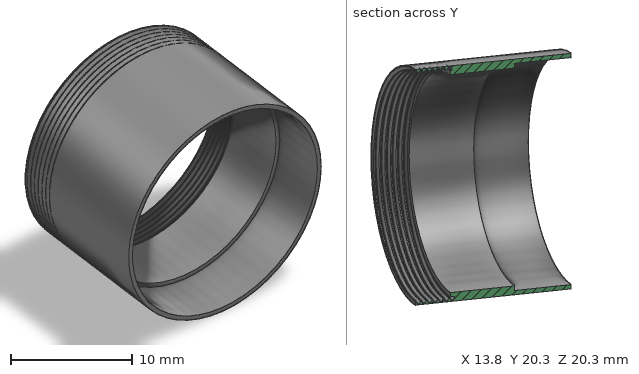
import cadquery as cq
import math

outer_diameter = 20.25
length = 13.8
bore_diameter = 18.65

thread_minor_diameter = 19.52
threaded_depth = 3.08
end_recess_diameter = 19.45
end_recess_depth = 5.0

thread_major_diameter = 20.09
threads_counted = 6
length_counted = 3.0
thread_pitch = length_counted / threads_counted
flank_half_angle = 30.0
root_flat = thread_pitch / 8
root_position = 0.15
thread_turns = 7.3
crest_overlap = 0.05


def cylinder(diameter, start, depth):
    """Solid cylinder along X beginning at X = start."""
    return cq.Workplane("YZ", origin=(start, 0, 0)).circle(diameter / 2).extrude(depth)


def thread_cutter():
    """Helical groove that starts one pitch outside the -X face."""
    start = root_position - thread_pitch
    height = thread_turns * thread_pitch
    root_radius = thread_major_diameter / 2
    inner_radius = thread_minor_diameter / 2 - crest_overlap
    half_root = root_flat / 2
    half_mouth = half_root + (root_radius - inner_radius) * math.tan(math.radians(flank_half_angle))
    helix = cq.Wire.makeHelix(thread_pitch, height, root_radius)
    groove = (
        cq.Workplane("XZ")
        .moveTo(inner_radius, -half_mouth)
        .lineTo(root_radius, -half_root)
        .lineTo(root_radius, half_root)
        .lineTo(inner_radius, half_mouth)
        .close()
        .sweep(cq.Workplane(obj=helix), isFrenet=True)
    )
    groove = groove.rotate((0, 0, 0), (0, 1, 0), 90)
    groove = groove.rotate((0, 0, 0), (1, 0, 0), -90)
    return groove.translate((start, 0, 0))


sleeve = cylinder(outer_diameter, 0, length)
sleeve = sleeve.cut(cylinder(bore_diameter, 0, length))
sleeve = sleeve.cut(cylinder(thread_minor_diameter, 0, threaded_depth))
sleeve = sleeve.cut(cylinder(end_recess_diameter, length - end_recess_depth, end_recess_depth))
result = sleeve.cut(thread_cutter())